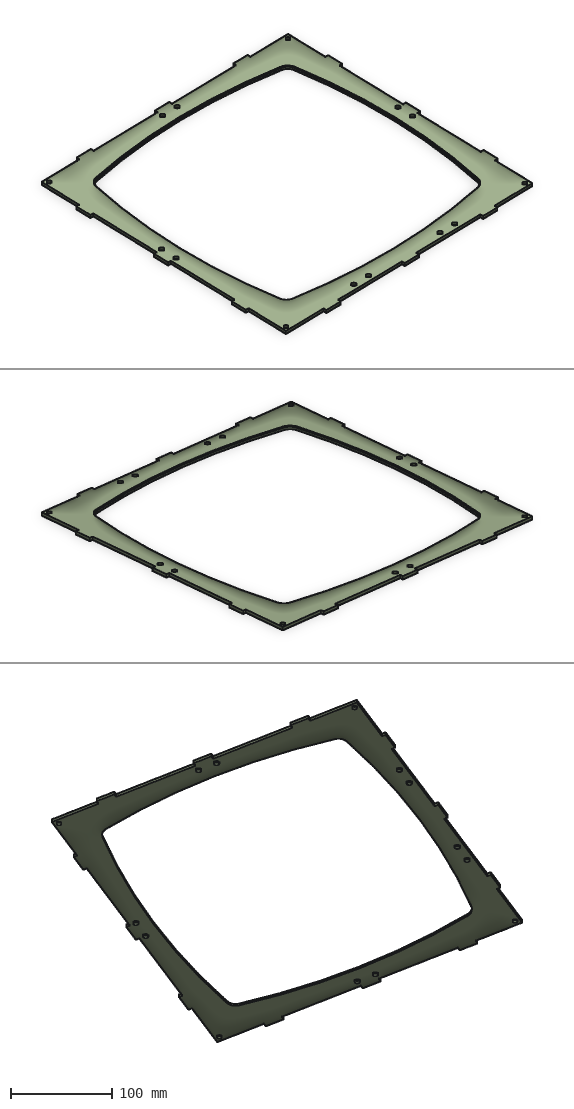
import cadquery as cq

overall = 350.0
thickness = 4.0
tab_depth = 4.0
tab_width = 20.0
tab_spacing = 109.0
body = overall - 2 * tab_depth

opening_half = 149.5
opening_corner = 135.8
corner_radius = 11.2
opening_chamfer = 1.0

corner_hole_diameter = 5.0
corner_hole_offset = 166.0
pair_hole_diameter = 5.5
pair_half_spacing = 10.0
pair_edge_distance = 7.0
pair_offset = body / 2 - pair_edge_distance
right_pair_center = 60.0


def make_plate():
    """Square plate with three tabs along every edge."""
    plate = cq.Workplane("XY").rect(body, body).extrude(thickness)
    for position in (-tab_spacing, 0, tab_spacing):
        along_y = cq.Workplane("XY").center(position, 0).rect(tab_width, overall)
        along_x = cq.Workplane("XY").center(0, position).rect(overall, tab_width)
        plate = plate.union(along_y.extrude(thickness))
        plate = plate.union(along_x.extrude(thickness))
    return plate


def make_opening():
    """Square cutter with outward-bowed sides and rounded corners."""
    outline = (
        cq.Workplane("XY")
        .moveTo(-opening_corner, -opening_corner)
        .threePointArc((0, -opening_half), (opening_corner, -opening_corner))
        .threePointArc((opening_half, 0), (opening_corner, opening_corner))
        .threePointArc((0, opening_half), (-opening_corner, opening_corner))
        .threePointArc((-opening_half, 0), (-opening_corner, -opening_corner))
        .close()
    )
    return outline.extrude(thickness).edges("|Z").fillet(corner_radius)


def chamfer_opening(frame):
    """Bevel the top rim of the opening."""
    reach = opening_half + opening_chamfer
    top_rim = cq.selectors.BoxSelector(
        (-reach, -reach, thickness / 2),
        (reach, reach, 2 * thickness),
    )
    return frame.edges(top_rim).chamfer(opening_chamfer)


def make_holes(points, diameter):
    """Through-hole cutters at the given points."""
    return cq.Workplane("XY").pushPoints(points).circle(diameter / 2).extrude(thickness)


corner_points = [
    (x, y)
    for x in (-corner_hole_offset, corner_hole_offset)
    for y in (-corner_hole_offset, corner_hole_offset)
]

pair_points = []
for shift in (-pair_half_spacing, pair_half_spacing):
    pair_points += [
        (shift, pair_offset),
        (shift, -pair_offset),
        (-pair_offset, shift),
        (pair_offset, right_pair_center + shift),
        (pair_offset, -right_pair_center + shift),
    ]

result = (
    chamfer_opening(make_plate().cut(make_opening()))
    .cut(make_holes(corner_points, corner_hole_diameter))
    .cut(make_holes(pair_points, pair_hole_diameter))
)